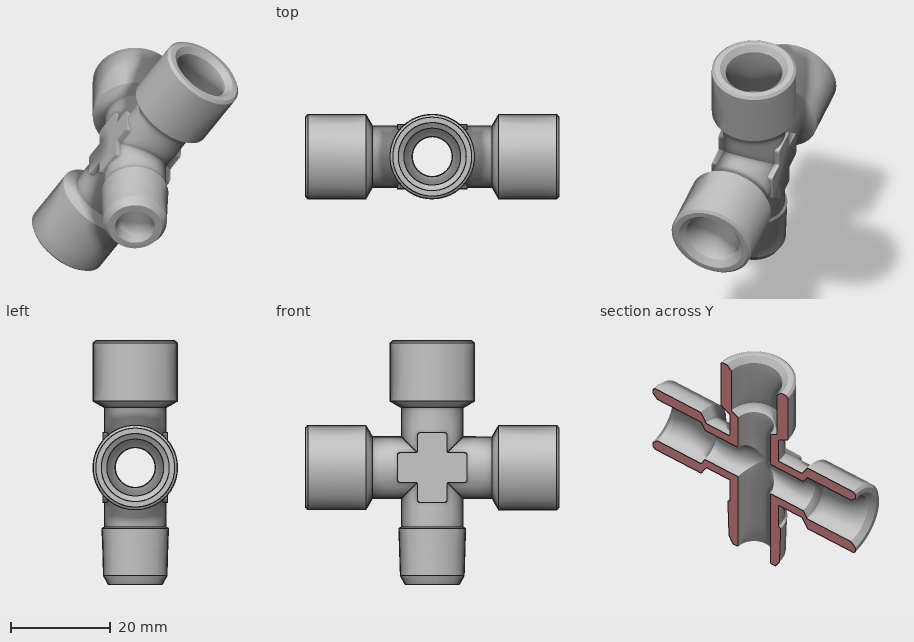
import cadquery as cq
import math


arm_length = 25.5
neck_radius = 12.4 / 2
bore_radius = 8.0 / 2

socket_radius = 17.0 / 2
socket_length = 12.15
rim_chamfer_width = 0.55
rim_chamfer_depth = 0.5
mouth_radius = 13.65 / 2
thread_radius = 11.4 / 2
mouth_depth = mouth_radius - thread_radius
thread_depth = 12.15
cone_half_angle = math.radians(60)

male_length = 23.5
male_top = 12.0
male_radius = 13.4 / 2
male_taper = 1 / 16
male_chamfer_length = 1.8
male_tip_radius = 5.4

pad_span = 14.0
pad_width = 6.0
pad_face_distance = 13.0 / 2
pad_outer_fillet = 0.6
pad_inner_fillet = 0.3
selection_margin = 0.05


def cone_length(large_radius, small_radius):
    """Axial length of a cone at the common half angle."""
    return (large_radius - small_radius) / math.tan(cone_half_angle)


def revolve_z(points):
    """Solid of revolution about Z from (radius, height) points."""
    return cq.Workplane("XZ").polyline(points).close().revolve(360, (0, 0), (0, 1))


def female_arm():
    """Neck and socket body pointing along +Z."""
    shoulder = arm_length - socket_length
    return revolve_z([
        (0, 0),
        (neck_radius, 0),
        (neck_radius, shoulder - cone_length(socket_radius, neck_radius)),
        (socket_radius, shoulder),
        (socket_radius, arm_length - rim_chamfer_depth),
        (socket_radius - rim_chamfer_width, arm_length),
        (0, arm_length),
    ])


def female_cavity():
    """Bore, conical drill bottom, thread hole and flared mouth along +Z."""
    thread_bottom = arm_length - thread_depth
    return revolve_z([
        (0, 0),
        (bore_radius, 0),
        (bore_radius, thread_bottom - cone_length(thread_radius, bore_radius)),
        (thread_radius, thread_bottom),
        (thread_radius, arm_length - mouth_depth),
        (mouth_radius, arm_length),
        (0, arm_length),
    ])


def male_arm():
    """Neck and tapered male end pointing along -Z."""
    taper_start = male_top + cone_length(male_radius, neck_radius)
    taper_end = male_length - male_chamfer_length
    taper_end_radius = male_radius - (taper_end - taper_start) * male_taper / 2
    return revolve_z([
        (0, 0),
        (neck_radius, 0),
        (neck_radius, -male_top),
        (male_radius, -taper_start),
        (taper_end_radius, -taper_end),
        (male_tip_radius, -male_length),
        (0, -male_length),
    ])


def pads():
    """Block whose two cross-shaped ends stand proud of the pipes."""
    thickness = 2 * pad_face_distance
    upright = cq.Workplane("XY").box(pad_width, thickness, pad_span)
    crossbar = cq.Workplane("XY").box(pad_span, thickness, pad_width)
    reach = pad_width / 2 + selection_margin
    corner_box = cq.selectors.BoxSelector(
        (-reach, -thickness, -reach),
        (reach, thickness, reach),
    )
    cross = upright.union(crossbar)
    cross = cross.edges("|Y").edges(corner_box).fillet(pad_inner_fillet)
    outer_edges = cross.edges("|Y").edges("<X or >X or <Z or >Z")
    return outer_edges.fillet(pad_outer_fillet)


def in_socket_directions(shape):
    """Copies of a +Z shape turned to +Z, +X and -X."""
    return [shape.rotate((0, 0, 0), (0, 1, 0), angle) for angle in (0, 90, -90)]


result = male_arm().union(pads())
for arm in in_socket_directions(female_arm()):
    result = result.union(arm)
for cavity in in_socket_directions(female_cavity()):
    result = result.cut(cavity)
male_bore = cq.Workplane("XY").circle(bore_radius).extrude(-male_length)
result = result.cut(male_bore)